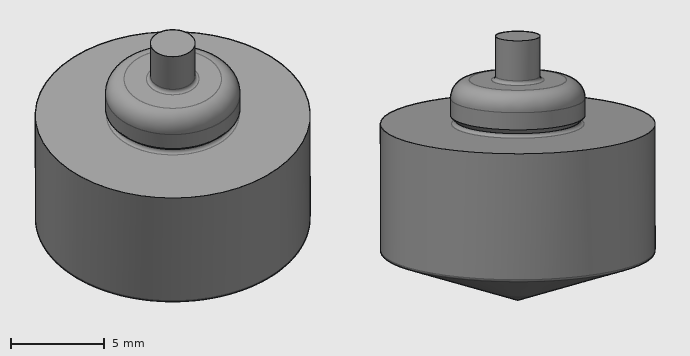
import cadquery as cq
import math

BASE_DIAMETER = 14.68
BASE_HEIGHT = 9.66
CONE_SLOPE_DEG = 20.0
RIM_RADIUS = 0.15
BLEND_RADIUS = 0.2

CAP_DIAMETER = 7.2
CAP_TOP = 2.41
CAP_EDGE_RADIUS = 1.0
CAP_CHAMFER = 0.26
PIN_DIAMETER = 2.4
PIN_HEIGHT = 2.4

base_radius = BASE_DIAMETER / 2
cone_height = base_radius * math.tan(math.radians(CONE_SLOPE_DEG))
cap_radius = CAP_DIAMETER / 2
pin_radius = PIN_DIAMETER / 2
pin_top = CAP_TOP + PIN_HEIGHT
neck_radius = cap_radius - CAP_CHAMFER
neck_height = BLEND_RADIUS
ARC_MIDDLE = math.sqrt(0.5)


def revolve_profile(profile):
    """Turn a closed half section (radius, height) around the Z axis."""
    return profile.close().revolve(360, (0, 0, 0), (0, 1, 0))


def concave_blend(profile, radius, foot_height):
    """Continue a profile up a quarter arc from a flat face to a wall of the given radius."""
    offset = BLEND_RADIUS * (1 - ARC_MIDDLE)
    middle = (radius + offset, foot_height + offset)
    return profile.threePointArc(middle, (radius, foot_height + BLEND_RADIUS))


def make_base():
    """Cylinder with a rounded rim, a conical underside and a flared neck."""
    profile = (
        cq.Workplane("XZ")
        .moveTo(0, -BASE_HEIGHT)
        .lineTo(base_radius, cone_height - BASE_HEIGHT)
        .lineTo(base_radius, 0)
        .lineTo(neck_radius + BLEND_RADIUS, 0)
    )
    profile = concave_blend(profile, neck_radius, 0).lineTo(0, neck_height)
    widest_edges = revolve_profile(profile).edges(cq.selectors.RadiusNthSelector(-1))
    return widest_edges.edges("<Z").fillet(RIM_RADIUS)


def make_cap():
    """Disc with a chamfered lower edge, a rounded upper edge and a blended pin."""
    edge_center_radius = cap_radius - CAP_EDGE_RADIUS
    edge_center_height = CAP_TOP - CAP_EDGE_RADIUS
    edge_middle = (
        edge_center_radius + CAP_EDGE_RADIUS * ARC_MIDDLE,
        edge_center_height + CAP_EDGE_RADIUS * ARC_MIDDLE,
    )
    profile = (
        cq.Workplane("XZ")
        .moveTo(0, neck_height)
        .lineTo(neck_radius, neck_height)
        .lineTo(cap_radius, neck_height + CAP_CHAMFER)
        .lineTo(cap_radius, edge_center_height)
        .threePointArc(edge_middle, (edge_center_radius, CAP_TOP))
        .lineTo(pin_radius + BLEND_RADIUS, CAP_TOP)
    )
    profile = concave_blend(profile, pin_radius, CAP_TOP)
    return revolve_profile(profile.lineTo(pin_radius, pin_top).lineTo(0, pin_top))


base = make_base()
cap = make_cap()
result = cq.Compound.makeCompound([base.val(), cap.val()])